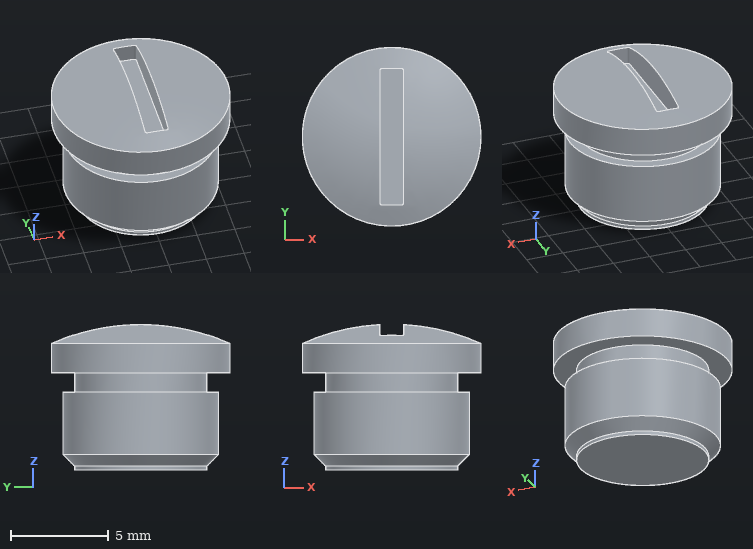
import cadquery as cq

head_radius = 4.6
body_radius = 4.0
neck_radius = 3.4
tip_height = 0.2
chamfer_size = body_radius - neck_radius
body_top = 4.0
head_bottom = 5.0
head_rim = 6.5
dome_rise = 0.99
slot_width = 1.22
slot_length = 7.02
slot_depth = 1.5
slot_corner_radius = 0.12

dome_apex = head_rim + dome_rise
dome_radius = (head_radius**2 + dome_rise**2) / (2 * dome_rise)


def make_plug():
    """Revolve the stepped half profile, with a spherical dome on the head."""
    half_radius = head_radius / 2
    dome_center = dome_apex - dome_radius
    half_height = dome_center + (dome_radius**2 - half_radius**2) ** 0.5
    return (
        cq.Workplane("XZ")
        .moveTo(0, 0)
        .lineTo(neck_radius, 0)
        .lineTo(neck_radius, tip_height)
        .lineTo(body_radius, tip_height + chamfer_size)
        .lineTo(body_radius, body_top)
        .lineTo(neck_radius, body_top)
        .lineTo(neck_radius, head_bottom)
        .lineTo(head_radius, head_bottom)
        .lineTo(head_radius, head_rim)
        .threePointArc((half_radius, half_height), (0, dome_apex))
        .close()
        .revolve(360, (0, 0, 0), (0, 1, 0))
    )


def make_slot():
    """Screwdriver slot along Y, with rounded vertical corners and a flat floor."""
    return (
        cq.Workplane("XY")
        .workplane(offset=dome_apex - slot_depth)
        .rect(slot_width, slot_length)
        .extrude(slot_depth)
        .edges("|Z")
        .fillet(slot_corner_radius)
    )


result = make_plug().cut(make_slot())